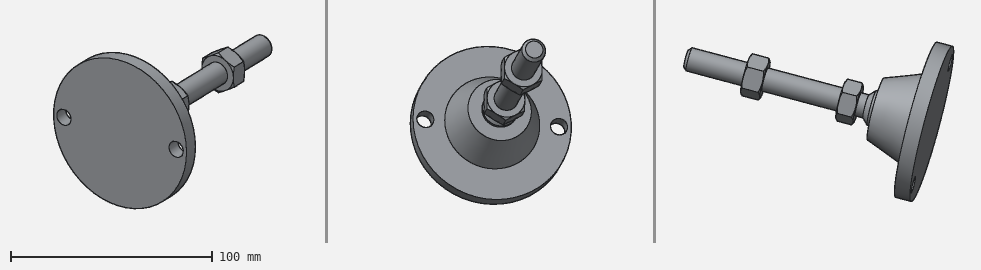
import cadquery as cq
import math

base_diameter = 80.0
base_thickness = 8.0
mount_hole_diameter = 8.5
mount_hole_spacing = 67.5

hub_bottom_diameter = 48.0
hub_top_diameter = 32.0
hub_height = 21.0

overall_length = 127.0
stud_diameter = 12.0
stud_tip_chamfer = 1.6
collar_diameter = 18.0
collar_straight_height = 2.0

nut_sides = 6
nut_across_flats = 19.0
nut_chamfer_angle = 30.0
lower_nut_start = 38.0
lower_nut_height = 9.0
upper_nut_start = 86.2
upper_nut_height = 10.0

hub_top = base_thickness + hub_height
collar_shoulder = hub_top + collar_straight_height
collar_top = collar_shoulder + (collar_diameter - stud_diameter) / 2


def make_turned_body():
    """Base, hub, collar and stud as one solid of revolution about Y."""
    stud_radius = stud_diameter / 2
    profile = [
        (0, 0),
        (base_diameter / 2, 0),
        (base_diameter / 2, base_thickness),
        (hub_bottom_diameter / 2, base_thickness),
        (hub_top_diameter / 2, hub_top),
        (collar_diameter / 2, hub_top),
        (collar_diameter / 2, collar_shoulder),
        (stud_radius, collar_top),
        (stud_radius, overall_length - stud_tip_chamfer),
        (stud_radius - stud_tip_chamfer, overall_length),
        (0, overall_length),
    ]
    return cq.Workplane("XY").polyline(profile).close().revolve(360, (0, 0), (0, 1))


def make_mount_holes():
    """Two cylinders that pass through the base on either side of the hub."""
    return (
        cq.Workplane("XZ")
        .pushPoints([(-mount_hole_spacing / 2, 0), (mount_hole_spacing / 2, 0)])
        .circle(mount_hole_diameter / 2)
        .extrude(-base_thickness)
    )


def make_nut(start, height):
    """Hexagon nut with corners up and down (Z) and both faces chamfered conically."""
    flat_radius = nut_across_flats / 2
    corner_radius = flat_radius / math.cos(math.pi / nut_sides)
    chamfer_drop = (corner_radius - flat_radius) * math.tan(math.radians(nut_chamfer_angle))
    hexagon = (
        cq.Workplane("XZ", origin=(0, start, 0))
        .transformed(rotate=(0, 0, 90))
        .polygon(nut_sides, 2 * corner_radius)
        .extrude(-height)
    )
    envelope = [
        (0, start),
        (flat_radius, start),
        (corner_radius, start + chamfer_drop),
        (corner_radius, start + height - chamfer_drop),
        (flat_radius, start + height),
        (0, start + height),
    ]
    turned_blank = cq.Workplane("XY").polyline(envelope).close().revolve(360, (0, 0), (0, 1))
    return hexagon.intersect(turned_blank)


lower_nut = make_nut(lower_nut_start, lower_nut_height)
upper_nut = make_nut(upper_nut_start, upper_nut_height)

result = make_turned_body().cut(make_mount_holes()).union(lower_nut).union(upper_nut)